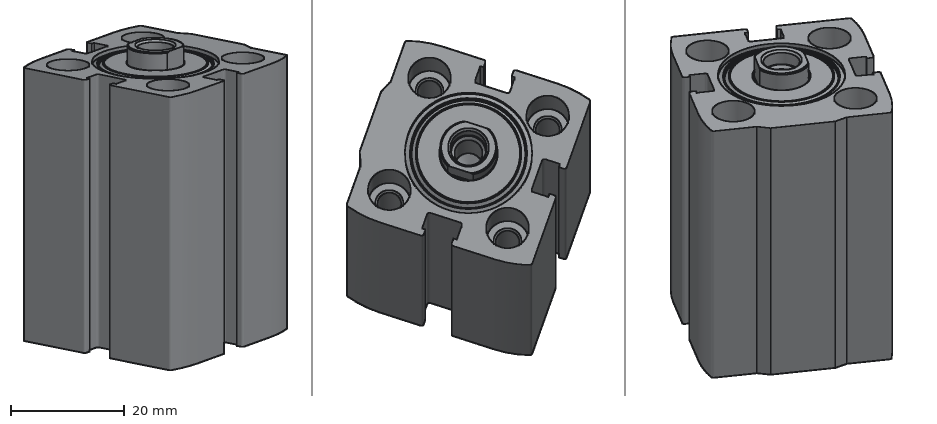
import cadquery as cq
import math

TOTAL_HEIGHT = 53.0
ROD_PROJECTION = 3.0
HOUSING_HEIGHT = TOTAL_HEIGHT - ROD_PROJECTION

WIDTH = 34.5
HALF_WIDTH = WIDTH / 2
SIDE_FLAT_HALF = 10.7
SIDE_CURVE_RADIUS = 20.0
CORNER_RADIUS = 0.55
PAD_HEIGHT = 1.0
PAD_TOP_HALF = 5.85
PAD_FOOT_HALF = 8.1

SLOT_MOUTH_HALF = 2.6
SLOT_INNER_HALF = 3.25
SLOT_FLOOR = 12.7
SLOT_LIP = 1.3
LIP_RADIUS = 0.4
SLOT_FLOOR_RADIUS = 0.5

HOLE_SPACING = 22.0
HOLE_DIAMETER = 4.2
HOLE_MOUTH_DIAMETER = 4.95
COUNTERBORE_DIAMETER = 7.5
COUNTERBORE_DEPTH = 7.4

CAP_RECESS_RADIUS = 22.4 / 2
CAP_STEP_RADIUS = 10.35
CAP_GROOVE_OUTER_RADIUS = 10.1
CAP_GROOVE_INNER_RADIUS = 20.0 / 2
CAP_LEDGE_RADIUS = 9.35
CAP_FACE_RADIUS = 9.05
CAP_RECESS_DEPTH = 0.8
CAP_STEP_DEPTH = 0.35
CAP_GROOVE_DEPTH = 0.75
CAP_LEDGE_DEPTH = 0.25
CAP_FACE_DEPTH = 0.2

ROD_RADIUS = 10.0 / 2
BEARING_CHAMFER = 0.15
ROD_LENGTH = 21.2
ROD_CHAMFER = 0.2
FLAT_HALF = 4.4
FLAT_LENGTH = 4.25
FLAT_END_ANGLE = 30.0
ROD_HOLE_MOUTH_RADIUS = 3.6
ROD_BORE_RADIUS = 6.4 / 2
ROD_BORE_DEPTH = 2.7
THREAD_MOUTH_RADIUS = 3.0
THREAD_CORE_RADIUS = 4.95 / 2
THREAD_END_DEPTH = 10.6
THREAD_MOUTH_ANGLE = 45.0
DRILL_POINT_ANGLE = 118.0


def housing_blank():
    """Extruded outline: curved corners, with a raised pad along +Y."""
    rise = HALF_WIDTH - SIDE_FLAT_HALF
    corner_inset = SIDE_CURVE_RADIUS - math.sqrt(SIDE_CURVE_RADIUS**2 - rise**2)
    corner_x = HALF_WIDTH - corner_inset
    block = (
        cq.Workplane("XY")
        .moveTo(-corner_x, -HALF_WIDTH)
        .lineTo(corner_x, -HALF_WIDTH)
        .radiusArc((HALF_WIDTH, -SIDE_FLAT_HALF), -SIDE_CURVE_RADIUS)
        .lineTo(HALF_WIDTH, SIDE_FLAT_HALF)
        .radiusArc((corner_x, HALF_WIDTH), -SIDE_CURVE_RADIUS)
        .lineTo(-corner_x, HALF_WIDTH)
        .radiusArc((-HALF_WIDTH, SIDE_FLAT_HALF), -SIDE_CURVE_RADIUS)
        .lineTo(-HALF_WIDTH, -SIDE_FLAT_HALF)
        .radiusArc((-corner_x, -HALF_WIDTH), -SIDE_CURVE_RADIUS)
        .close()
        .extrude(HOUSING_HEIGHT)
        .edges("|Z and (<Y or >Y)")
        .fillet(CORNER_RADIUS)
    )
    pad = (
        cq.Workplane("XY")
        .polyline([
            (-PAD_FOOT_HALF, HALF_WIDTH),
            (PAD_FOOT_HALF, HALF_WIDTH),
            (PAD_TOP_HALF, HALF_WIDTH + PAD_HEIGHT),
            (-PAD_TOP_HALF, HALF_WIDTH + PAD_HEIGHT),
        ])
        .close()
        .extrude(HOUSING_HEIGHT)
    )
    return block.union(pad)


def slot_cutter(angle):
    """T-slot volume opening toward +X, turned about Z by the angle."""
    undercut_end = HALF_WIDTH - SLOT_LIP
    undercut = (
        cq.Workplane("XY")
        .rect(undercut_end - SLOT_FLOOR, 2 * SLOT_INNER_HALF)
        .extrude(HOUSING_HEIGHT)
        .translate(((undercut_end + SLOT_FLOOR) / 2, 0, 0))
        .edges("|Z and <X")
        .fillet(SLOT_FLOOR_RADIUS)
    )
    flare_half = SLOT_MOUTH_HALF + LIP_RADIUS
    flare_start = HALF_WIDTH - LIP_RADIUS
    mouth = (
        cq.Workplane("XY")
        .moveTo(SLOT_FLOOR + SLOT_FLOOR_RADIUS, -SLOT_MOUTH_HALF)
        .lineTo(flare_start, -SLOT_MOUTH_HALF)
        .radiusArc((HALF_WIDTH, -flare_half), LIP_RADIUS)
        .lineTo(HALF_WIDTH, flare_half)
        .radiusArc((flare_start, SLOT_MOUTH_HALF), LIP_RADIUS)
        .lineTo(SLOT_FLOOR + SLOT_FLOOR_RADIUS, SLOT_MOUTH_HALF)
        .close()
        .extrude(HOUSING_HEIGHT)
    )
    return undercut.union(mouth).rotate((0, 0, 0), (0, 0, 1), angle)


def mounting_hole_cutter():
    """Through hole with a conical mouth at the bottom of a counterbore."""
    hole_radius = HOLE_DIAMETER / 2
    mouth_radius = HOLE_MOUTH_DIAMETER / 2
    counterbore_radius = COUNTERBORE_DIAMETER / 2
    shoulder = HOUSING_HEIGHT - COUNTERBORE_DEPTH
    return (
        cq.Workplane("XZ")
        .polyline([
            (0, 0),
            (hole_radius, 0),
            (hole_radius, shoulder - (mouth_radius - hole_radius)),
            (mouth_radius, shoulder),
            (counterbore_radius, shoulder),
            (counterbore_radius, HOUSING_HEIGHT),
            (0, HOUSING_HEIGHT),
        ])
        .close()
        .revolve(360, (0, 0), (0, 1))
    )


def cap_recess_cutter():
    """Space above the stepped and sloping rings of the end cap."""
    top = HOUSING_HEIGHT
    return (
        cq.Workplane("XZ")
        .polyline([
            (0, top),
            (CAP_RECESS_RADIUS, top),
            (CAP_RECESS_RADIUS, top - CAP_RECESS_DEPTH),
            (CAP_STEP_RADIUS, top - CAP_STEP_DEPTH),
            (CAP_GROOVE_OUTER_RADIUS, top - CAP_STEP_DEPTH),
            (CAP_GROOVE_OUTER_RADIUS, top - CAP_GROOVE_DEPTH),
            (CAP_GROOVE_INNER_RADIUS, top - CAP_GROOVE_DEPTH),
            (CAP_LEDGE_RADIUS, top - CAP_LEDGE_DEPTH),
            (CAP_FACE_RADIUS, top - CAP_LEDGE_DEPTH),
            (CAP_FACE_RADIUS, top - CAP_FACE_DEPTH),
            (ROD_RADIUS + BEARING_CHAMFER, top - CAP_FACE_DEPTH),
            (ROD_RADIUS, top - CAP_FACE_DEPTH - BEARING_CHAMFER),
            (0, top - CAP_FACE_DEPTH - BEARING_CHAMFER),
        ])
        .close()
        .revolve(360, (0, 0), (0, 1))
    )


def rod_blank():
    """Plain round rod, also the shape of the bore that holds it."""
    return cq.Workplane("XY").workplane(offset=TOTAL_HEIGHT - ROD_LENGTH).circle(ROD_RADIUS).extrude(ROD_LENGTH)


def make_housing():
    housing = housing_blank()
    for angle in (0, 180, 270):
        housing = housing.cut(slot_cutter(angle))
    hole = mounting_hole_cutter()
    for x in (-HOLE_SPACING / 2, HOLE_SPACING / 2):
        for y in (-HOLE_SPACING / 2, HOLE_SPACING / 2):
            housing = housing.cut(hole.translate((x, y, 0)))
    return housing.cut(cap_recess_cutter()).cut(rod_blank())


def rod_hole_cutter():
    """Chamfered bore, then a threaded hole's core ending in a drill point."""
    top = TOTAL_HEIGHT
    bore_floor = top - ROD_BORE_DEPTH
    mouth_drop = (THREAD_MOUTH_RADIUS - THREAD_CORE_RADIUS) / math.tan(math.radians(THREAD_MOUTH_ANGLE))
    point_drop = THREAD_CORE_RADIUS / math.tan(math.radians(DRILL_POINT_ANGLE / 2))
    return (
        cq.Workplane("XZ")
        .polyline([
            (0, top),
            (ROD_HOLE_MOUTH_RADIUS, top),
            (ROD_BORE_RADIUS, top - (ROD_HOLE_MOUTH_RADIUS - ROD_BORE_RADIUS)),
            (ROD_BORE_RADIUS, bore_floor),
            (THREAD_MOUTH_RADIUS, bore_floor),
            (THREAD_CORE_RADIUS, bore_floor - mouth_drop),
            (THREAD_CORE_RADIUS, top - THREAD_END_DEPTH),
            (0, top - THREAD_END_DEPTH - point_drop),
        ])
        .close()
        .revolve(360, (0, 0), (0, 1))
    )


def wrench_flat_cutter(side):
    """Block that cuts a flat facing along X, with a sloping ledge below; side is -1 or 1."""
    flat_end = TOTAL_HEIGHT - FLAT_LENGTH
    ledge_drop = (ROD_RADIUS - FLAT_HALF) * math.tan(math.radians(FLAT_END_ANGLE))
    return (
        cq.Workplane("XZ")
        .polyline([
            (side * FLAT_HALF, TOTAL_HEIGHT),
            (side * ROD_RADIUS, TOTAL_HEIGHT),
            (side * ROD_RADIUS, flat_end - ledge_drop),
            (side * FLAT_HALF, flat_end),
        ])
        .close()
        .extrude(ROD_RADIUS, both=True)
    )


def make_rod():
    rod = rod_blank().faces(">Z").chamfer(ROD_CHAMFER)
    for side in (-1, 1):
        rod = rod.cut(wrench_flat_cutter(side))
    return rod.cut(rod_hole_cutter())


housing = make_housing()
piston_rod = make_rod()

result = cq.Compound.makeCompound([housing.val(), piston_rod.val()])